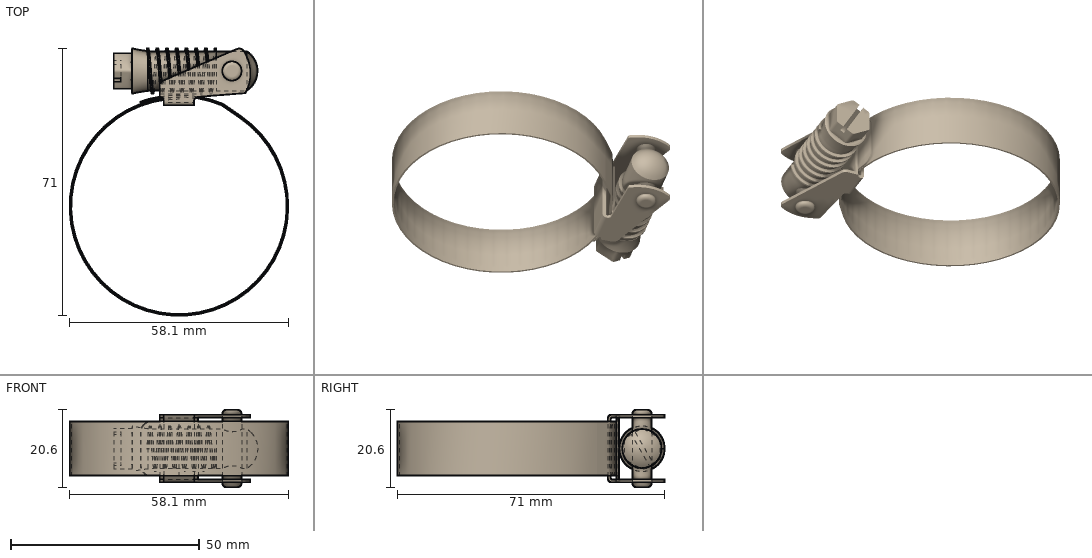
import cadquery as cq
import math

band_radius = 29.05
band_thickness = 0.5
band_width = 14.4
lap_gap = 0.1
lap_radius = band_radius + lap_gap + band_thickness
tail_angle = 110.3
tail_corner_radius = 2.85
hidden_end_angle = 90
kink_angle = 66.8
kink_radius = 2.85
merge_angle = kink_angle - math.degrees(math.acos(band_radius / lap_radius))

axis_y = 35.9
core_radius = 5.2
thread_radius = 6.05
thread_turns = 7
thread_root_width = 0.65
thread_crest_width = 0.4
thread_sink = 0.15
head_start_x = -17.3
collar_start_x = -12.65
collar_edge_x = -12.5
collar_rim_x = -12.35
collar_end_x = -8.3
collar_start_radius = 4.25
collar_edge_radius = 5.6
collar_end_radius = 5.3
collar_mid_radius = 5.6
screw_end_x = 9.95
thread_pitch = (screw_end_x - thread_crest_width / 2 - collar_end_x) / thread_turns
hex_across_flats = 9.5
hex_corner_radius = 0.85
slot_width = 1.2
slot_depth = 1.9
slot_angle = 120

dome_start_x = 18.05
dome_tip_x = 20.9

pin_x = 14.05
pin_radius = 2.55
pin_length = 20.6
pin_edge_radius = 1.1

sheet = 0.85
bracket_height = 18.05
inner_height = bracket_height - 2 * sheet
bend_radius = 1.1
web_bottom_y = 26.85
web_half_width = 4.05
heel_half_width = 5.1
heel_relief_radius = heel_half_width - web_half_width
bridge_top_y = axis_y - thread_radius
bridge_bottom_y = bridge_top_y - sheet
plate_shoulder_y = 33.0
plate_top_corner = (16.5, 42.25)
plate_nose = (18.95, 35.65)
plate_low_corner = (17.6, 30.05)
plate_corner_radius = 1.4
plate_low_corner_radius = 0.6


def polar(radius, angle):
    """Point in the XY plane at an angle in degrees from +X."""
    return (radius * math.cos(math.radians(angle)), radius * math.sin(math.radians(angle)))


def make_band():
    inner_radius = band_radius - band_thickness
    lap_inner_radius = lap_radius - band_thickness
    loop_end_angle = hidden_end_angle - 360
    loop_mid_angle = (merge_angle + loop_end_angle) / 2
    lap_mid_angle = (tail_angle + kink_angle) / 2
    strip = (
        cq.Workplane("XY")
        .moveTo(*polar(lap_radius, tail_angle))
        .threePointArc(polar(lap_radius, lap_mid_angle), polar(lap_radius, kink_angle))
        .lineTo(*polar(band_radius, merge_angle))
        .threePointArc(polar(band_radius, loop_mid_angle), polar(band_radius, loop_end_angle))
        .lineTo(*polar(inner_radius, loop_end_angle))
        .threePointArc(polar(inner_radius, loop_mid_angle), polar(inner_radius, merge_angle))
        .lineTo(*polar(lap_inner_radius, kink_angle))
        .threePointArc(polar(lap_inner_radius, lap_mid_angle), polar(lap_inner_radius, tail_angle))
        .close()
        .extrude(band_width / 2, both=True)
    )
    for radius in (lap_radius, lap_inner_radius):
        kink_edge = cq.selectors.NearestToPointSelector((*polar(radius, kink_angle), 0))
        strip = strip.edges(kink_edge).fillet(kink_radius)
    for side in (-1, 1):
        tail_corner = (*polar(lap_radius - band_thickness / 2, tail_angle), side * band_width / 2)
        corner_edge = cq.selectors.NearestToPointSelector(tail_corner)
        strip = strip.edges(corner_edge).fillet(tail_corner_radius)
    return strip


def axis_plane(x):
    """Plane square to the screw axis, with local x along +Y and local y along +Z."""
    return cq.Plane(origin=(x, axis_y, 0), xDir=(0, 1, 0), normal=(1, 0, 0))


def profile_plane():
    """XY plane whose local x axis is the screw axis."""
    return cq.Workplane("XY", origin=(0, axis_y, 0))


def make_hex_head():
    head = (
        cq.Workplane(axis_plane(head_start_x))
        .polygon(6, hex_across_flats, circumscribed=True)
        .extrude(collar_rim_x - head_start_x)
        .edges("|X")
        .fillet(hex_corner_radius)
    )
    slot = (
        cq.Workplane(axis_plane(head_start_x))
        .transformed(rotate=(0, 0, slot_angle))
        .rect(2 * hex_across_flats, slot_width)
        .extrude(slot_depth)
    )
    return head.cut(slot)


def make_thread():
    """Right-handed trapezoidal thread, starting at the collar on the +Y side."""
    inner = core_radius - thread_sink
    helix = cq.Wire.makeHelix(thread_pitch, thread_turns * thread_pitch, core_radius)
    thread = (
        cq.Workplane("XZ")
        .polyline([
            (inner, -thread_root_width / 2),
            (thread_radius, -thread_crest_width / 2),
            (thread_radius, thread_crest_width / 2),
            (inner, thread_root_width / 2),
        ])
        .close()
        .sweep(cq.Workplane(helix), isFrenet=True)
    )
    return thread.rotate((0, 0, 0), (1, 1, 1), 120).translate((collar_end_x, axis_y, 0))


def make_screw():
    collar_mid_x = (collar_rim_x + collar_end_x) / 2
    shank = (
        profile_plane()
        .moveTo(collar_start_x, 0)
        .lineTo(collar_start_x, collar_start_radius)
        .lineTo(collar_edge_x, collar_edge_radius)
        .lineTo(collar_rim_x, thread_radius)
        .threePointArc((collar_mid_x, collar_mid_radius), (collar_end_x, collar_end_radius))
        .lineTo(collar_end_x, core_radius)
        .lineTo(screw_end_x, core_radius)
        .lineTo(screw_end_x, 0)
        .close()
        .revolve(360, (0, 0, 0), (1, 0, 0))
    )
    beyond_end = cq.Workplane(axis_plane(screw_end_x)).circle(2 * thread_radius).extrude(thread_pitch)
    return shank.union(make_thread()).union(make_hex_head()).cut(beyond_end)


def make_pin_shaft(length):
    return cq.Workplane("XY", origin=(pin_x, axis_y, 0)).circle(pin_radius).extrude(length / 2, both=True)


def make_pin():
    return make_pin_shaft(pin_length).faces("<Z or >Z").edges().fillet(pin_edge_radius)


def make_swivel():
    dome_height = dome_tip_x - dome_start_x
    sphere_radius = (core_radius**2 + dome_height**2) / (2 * dome_height)
    sphere_x = dome_tip_x - sphere_radius
    half_angle = math.asin(core_radius / sphere_radius) / 2
    dome_mid = (
        sphere_x + sphere_radius * math.cos(half_angle),
        sphere_radius * math.sin(half_angle),
    )
    block = (
        profile_plane()
        .moveTo(screw_end_x, 0)
        .lineTo(screw_end_x, core_radius)
        .lineTo(dome_start_x, core_radius)
        .threePointArc(dome_mid, (dome_tip_x, 0))
        .close()
        .revolve(360, (0, 0, 0), (1, 0, 0))
    )
    return block.cut(make_pin_shaft(pin_length))


def make_plate_block():
    """Solid block with the outline of the side plates and the narrower web below them."""
    relief_y = bridge_bottom_y - heel_relief_radius
    relief_diagonal = heel_relief_radius * math.sqrt(0.5)
    relief_mid_x = heel_half_width - relief_diagonal
    relief_mid_y = relief_y + relief_diagonal
    block = (
        cq.Workplane("XY")
        .moveTo(-web_half_width, web_bottom_y)
        .lineTo(-web_half_width, relief_y)
        .threePointArc((-relief_mid_x, relief_mid_y), (-heel_half_width, bridge_bottom_y))
        .lineTo(-heel_half_width, plate_shoulder_y)
        .lineTo(*plate_top_corner)
        .threePointArc(plate_nose, plate_low_corner)
        .lineTo(heel_half_width, bridge_bottom_y)
        .threePointArc((relief_mid_x, relief_mid_y), (web_half_width, relief_y))
        .lineTo(web_half_width, web_bottom_y)
        .close()
        .extrude(bracket_height / 2, both=True)
    )
    rounded_corners = (
        ((-heel_half_width, plate_shoulder_y), plate_corner_radius),
        (plate_top_corner, plate_corner_radius),
        (plate_low_corner, plate_low_corner_radius),
    )
    for corner, radius in rounded_corners:
        corner_edge = cq.selectors.NearestToPointSelector((*corner, 0))
        block = block.edges(corner_edge).fillet(radius)
    return block.faces("<Y").edges("|X").fillet(bend_radius)


def make_bridge():
    """Cross wall over the band, its underside curved to seat the lapping layer."""
    bridge = cq.Workplane("XY").box(2 * heel_half_width, sheet, inner_height, centered=(True, False, True))
    seat = cq.Workplane("XY").circle(lap_radius).extrude(bracket_height, both=True)
    return bridge.translate((0, bridge_bottom_y, 0)).cut(seat)


def make_bracket():
    channel_length = 2 * dome_tip_x
    channel = (
        cq.Workplane("XY")
        .box(channel_length, axis_y, inner_height, centered=(True, False, True))
        .faces("<Y")
        .edges("|X")
        .fillet(bend_radius - sheet)
        .translate((0, web_bottom_y + sheet, 0))
    )
    return make_plate_block().cut(channel).union(make_bridge()).cut(make_pin_shaft(pin_length))


band = make_band()
bracket = make_bracket()
screw = make_screw()
swivel = make_swivel()
pin = make_pin()

result = cq.Compound.makeCompound(
    [body.solids().val() for body in (band, bracket, screw, swivel, pin)]
)